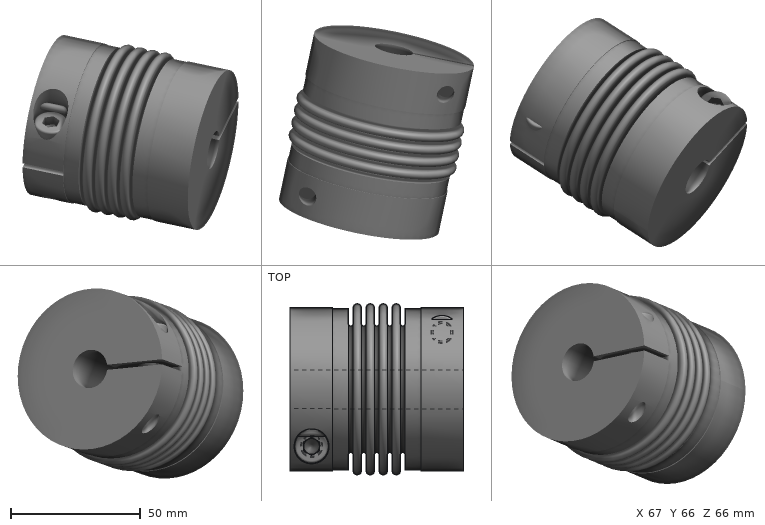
import cadquery as cq
import math

total_length = 67.0
bore_diameter = 15.0

hub_diameter = 63.0
hub_length = 16.4
collar_diameter = 62.3
collar_length = 6.15

ring_count = 4
ring_diameter = 66.0
ring_width = 3.2
valley_diameter = 48.85
bellows_start = hub_length + collar_length
bellows_length = total_length - 2 * bellows_start
valley_width = (bellows_length - ring_count * ring_width) / (ring_count + 1)

slit_width = 2.0
screw_x = 8.4
screw_y = -22.0
shank_diameter = 8.0
clearance_diameter = 8.5
thread_diameter = 6.8
shank_bottom_z = -12.05
head_diameter = 13.0
head_height = shank_diameter
head_top_z = 16.5
head_seat_z = head_top_z - head_height
head_fillet = 0.8
hex_flats = 6.0
hex_corners = hex_flats / math.cos(math.pi / 6)
hex_depth = 4.0
socket_cone_angle = 30.0
counterbore_diameter = 13.5

pin_diameter = 3.0
pin_y = -16.7
pin_z = 19.15
pin_length = counterbore_diameter


def screw_cylinder(diameter, bottom_z, top_z):
    """Cylinder on the axis of the clamping screw."""
    return (
        cq.Workplane("XY", origin=(screw_x, screw_y, bottom_z))
        .circle(diameter / 2)
        .extrude(top_z - bottom_z)
    )


def make_body():
    """Hubs, collars and bellows as one revolved profile."""
    hub_radius = hub_diameter / 2
    collar_radius = collar_diameter / 2
    tip_radius = ring_width / 2
    groove_radius = valley_width / 2
    crest_radius = ring_diameter / 2
    root_radius = valley_diameter / 2
    flank_outer = crest_radius - tip_radius
    flank_inner = root_radius + groove_radius
    bellows_end = total_length - bellows_start
    ring_pitch = valley_width + ring_width

    profile = (
        cq.Workplane("XY")
        .lineTo(0, hub_radius)
        .lineTo(hub_length, hub_radius)
        .lineTo(hub_length, collar_radius)
        .lineTo(bellows_start, collar_radius)
        .lineTo(bellows_start, flank_inner)
    )
    for i in range(ring_count):
        valley_start = bellows_start + i * ring_pitch
        ring_start = valley_start + valley_width
        ring_end = ring_start + ring_width
        profile = (
            profile
            .threePointArc((valley_start + groove_radius, root_radius), (ring_start, flank_inner))
            .lineTo(ring_start, flank_outer)
            .threePointArc((ring_start + tip_radius, crest_radius), (ring_end, flank_outer))
            .lineTo(ring_end, flank_inner)
        )
    return (
        profile
        .threePointArc((bellows_end - groove_radius, root_radius), (bellows_end, flank_inner))
        .lineTo(bellows_end, collar_radius)
        .lineTo(total_length - hub_length, collar_radius)
        .lineTo(total_length - hub_length, hub_radius)
        .lineTo(total_length, hub_radius)
        .lineTo(total_length, 0)
        .close()
        .revolve(360, (0, 0, 0), (1, 0, 0))
    )


def make_bore():
    """Shaft bore through the full length."""
    return cq.Workplane("YZ").circle(bore_diameter / 2).extrude(total_length)


def make_clamp_cuts():
    """Slit from the bore to the outside, clearance hole above it, threaded hole below it."""
    hub_radius = hub_diameter / 2
    slit = cq.Workplane("XY").box(
        hub_length, hub_radius, slit_width, centered=(False, False, True)
    ).translate((0, -hub_radius, 0))
    clearance = screw_cylinder(clearance_diameter, 0, head_seat_z)
    thread = screw_cylinder(thread_diameter, -hub_radius, 0)
    return slit.union(clearance).union(thread)


def make_counterbore():
    """Open recess above the seat of the screw head."""
    return screw_cylinder(counterbore_diameter, head_seat_z, hub_diameter / 2)


def make_screw():
    """Socket head screw with a rounded head edge and a hexagon socket ending in a cone."""
    head = screw_cylinder(head_diameter, head_seat_z, head_top_z).faces(">Z").edges().fillet(head_fillet)
    shank = screw_cylinder(shank_diameter, shank_bottom_z, head_seat_z)
    socket = (
        cq.Workplane("XY", origin=(screw_x, screw_y, head_top_z))
        .transformed(rotate=(0, 0, 90))
        .polygon(6, hex_corners)
        .extrude(-hex_depth)
    )
    tip_radius = hex_flats / 2
    tip_height = tip_radius * math.tan(math.radians(socket_cone_angle))
    tip = cq.Workplane(
        cq.Solid.makeCone(
            tip_radius, 0, tip_height,
            pnt=cq.Vector(screw_x, screw_y, head_top_z - hex_depth),
            dir=cq.Vector(0, 0, -1),
        )
    )
    return head.union(shank).cut(socket).cut(tip)


def make_pin():
    """Retaining pin along X, just above the screw head."""
    return (
        cq.Workplane("YZ", origin=(screw_x - pin_length / 2, pin_y, pin_z))
        .circle(pin_diameter / 2)
        .extrude(pin_length)
    )


def on_far_hub(shape):
    """Half turn about the vertical axis through the middle of the coupling."""
    middle = total_length / 2
    return shape.rotate((middle, 0, 0), (middle, 0, 1), 180)


result = (
    make_body()
    .cut(make_bore())
    .cut(make_clamp_cuts())
    .cut(make_counterbore())
    .union(make_pin())
    .union(make_screw())
    .cut(on_far_hub(make_clamp_cuts()))
    .union(on_far_hub(make_screw()))
)